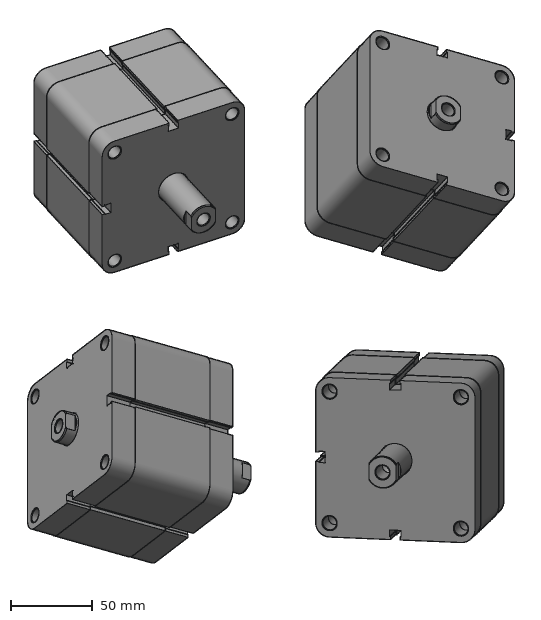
import cadquery as cq
import math

barrel_size = 100.0
barrel_length = 53.5
cap_length = 16.5
cap_inset = 0.25
cap_size = barrel_size - 2 * cap_inset
bolt_spacing = 82.0
bolt_hole_diameter = 8.5
bolt_hole_chamfer = 0.5
corner_radius = (barrel_size - bolt_spacing) / 2

slot_angles = (0, 90, 180)
barrel_slot_mouth = 5.0
barrel_slot_width = 6.0
barrel_slot_floor = 44.0
barrel_slot_lip = 47.5
cap_slot_clearance = 0.5
cap_slot_mouth = barrel_slot_mouth + 2 * cap_slot_clearance
cap_slot_width = barrel_slot_width + 2 * cap_slot_clearance
cap_slot_floor = barrel_slot_floor - cap_inset
cap_slot_lip = barrel_slot_lip + cap_inset

rod_diameter = 20.0
cap_bore_clearance = 0.4
rod_left_reach = 8.0
rod_length = 132.5
rod_end_chamfer_length = 0.8
rod_end_chamfer_depth = 0.45
flat_width = 17.0
flat_length = 6.6
flat_shoulder_chamfer = 0.5
rod_hole_diameter = 8.5
rod_hole_chamfer = 0.5
rod_hole_depth = 20.0
drill_point_angle = 118.0

left_cap_start = 0.0
barrel_start = left_cap_start + cap_length
right_cap_start = barrel_start + barrel_length
rod_start = left_cap_start - rod_left_reach
rod_end = rod_start + rod_length


def slot_cutter(start, length, size, mouth_width, inner_width, floor, lip):
    """T-slot prism that opens on the +Z side of a square section."""
    centered = (False, True, False)
    inner = cq.Workplane("XY").box(length, inner_width, lip - floor, centered=centered)
    mouth = cq.Workplane("XY").box(length, mouth_width, size / 2 - floor, centered=centered)
    return inner.union(mouth).translate((start, 0, floor))


def square_section(start, length, size, bore_radius, cutter):
    """Rounded square block with corner bolt holes, a rod bore and three T-slots."""
    section_plane = cq.Workplane("YZ", origin=(start, 0, 0))
    inset = (barrel_size - size) / 2
    block = section_plane.rect(size, size).extrude(length).edges("|X").fillet(corner_radius - inset)
    holes = (
        section_plane.rect(bolt_spacing, bolt_spacing, forConstruction=True)
        .vertices()
        .circle(bolt_hole_diameter / 2)
        .extrude(length)
    )
    bore = section_plane.circle(bore_radius).extrude(length)
    block = block.cut(holes).cut(bore)
    for angle in slot_angles:
        block = block.cut(cutter.rotate((0, 0, 0), (1, 0, 0), angle))
    return block


def barrel_body():
    """Middle profile; its bore fits the rod."""
    cutter = slot_cutter(
        barrel_start,
        barrel_length,
        barrel_size,
        barrel_slot_mouth,
        barrel_slot_width,
        barrel_slot_floor,
        barrel_slot_lip,
    )
    return square_section(barrel_start, barrel_length, barrel_size, rod_diameter / 2, cutter)


def end_cap(start, outer_face):
    """End cap with a clearance bore, and bolt holes chamfered at the outer face."""
    cutter = slot_cutter(
        start,
        cap_length,
        cap_size,
        cap_slot_mouth,
        cap_slot_width,
        cap_slot_floor,
        cap_slot_lip,
    )
    bore_radius = rod_diameter / 2 + cap_bore_clearance
    cap = square_section(start, cap_length, cap_size, bore_radius, cutter)
    bolt_hole_edges = cq.selectors.RadiusNthSelector(0)
    return cap.faces(outer_face).edges(bolt_hole_edges).chamfer(bolt_hole_chamfer)


def flat_cutter():
    """Cuts one wrench flat at the -X rod end, on the +Y side, with a chamfered shoulder."""
    flat_y = flat_width / 2
    radius = rod_diameter / 2
    shoulder_x = rod_start + flat_length
    return (
        cq.Workplane("XY", origin=(0, 0, -radius))
        .moveTo(rod_start, flat_y)
        .lineTo(shoulder_x, flat_y)
        .lineTo(shoulder_x, radius - flat_shoulder_chamfer)
        .lineTo(shoulder_x + flat_shoulder_chamfer, radius)
        .lineTo(rod_start, radius)
        .close()
        .extrude(2 * radius)
    )


def hole_cutter():
    """Blind drilled hole with a chamfered mouth, at the -X rod end."""
    radius = rod_hole_diameter / 2
    tip = radius / math.tan(math.radians(drill_point_angle / 2))
    return (
        cq.Workplane("XY")
        .moveTo(rod_start, 0)
        .lineTo(rod_start, radius + rod_hole_chamfer)
        .lineTo(rod_start + rod_hole_chamfer, radius)
        .lineTo(rod_start + rod_hole_depth, radius)
        .lineTo(rod_start + rod_hole_depth + tip, 0)
        .close()
        .revolve(360, (0, 0, 0), (1, 0, 0))
    )


def piston_rod():
    """Through rod with wrench flats and a centre hole at both ends."""
    rod = (
        cq.Workplane("YZ", origin=(rod_start, 0, 0))
        .circle(rod_diameter / 2)
        .extrude(rod_length)
        .faces("<X or >X")
        .chamfer(rod_end_chamfer_length, rod_end_chamfer_depth)
    )
    middle_x = (rod_start + rod_end) / 2
    end_cut = hole_cutter().union(flat_cutter()).union(flat_cutter().mirror("XZ"))
    return rod.cut(end_cut).cut(end_cut.mirror("YZ", (middle_x, 0, 0)))


left_cap = end_cap(left_cap_start, "<X")
barrel = barrel_body()
right_cap = end_cap(right_cap_start, ">X")
rod = piston_rod()

result = cq.Compound.makeCompound([left_cap.val(), barrel.val(), right_cap.val(), rod.val()])